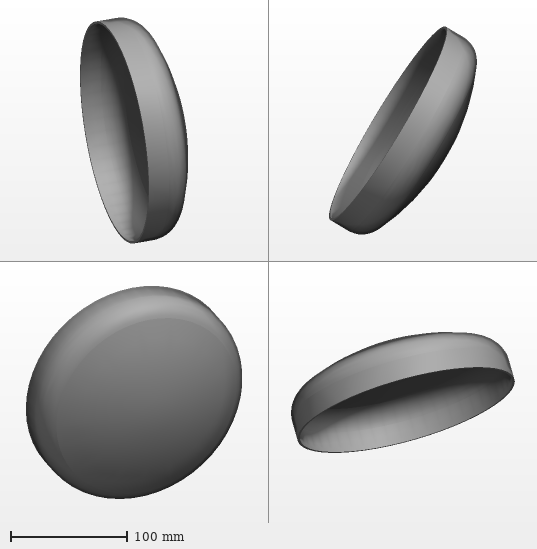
import cadquery as cq
import math

outer_diameter = 193.7
inner_diameter = 189.6
rim_height = 18.0
crown_inner_radius = outer_diameter
knuckle_inner_radius = outer_diameter / 10

outer_radius = outer_diameter / 2
inner_radius = inner_diameter / 2
wall = outer_radius - inner_radius
crown_outer_radius = crown_inner_radius + wall
knuckle_outer_radius = knuckle_inner_radius + wall

knuckle_centre = (inner_radius - knuckle_inner_radius, rim_height)
centre_distance = crown_inner_radius - knuckle_inner_radius
meeting_angle = math.asin(knuckle_centre[0] / centre_distance)
crown_centre = (0, rim_height - centre_distance * math.cos(meeting_angle))
knuckle_middle_angle = (meeting_angle + math.pi / 2) / 2
crown_middle_angle = meeting_angle / 2


def arc_point(centre, radius, angle):
    """Point on a circle, at an angle from the +Y direction towards +X."""
    return centre[0] + radius * math.sin(angle), centre[1] + radius * math.cos(angle)


wall_section = (
    cq.Workplane("XY")
    .moveTo(inner_radius, 0)
    .lineTo(outer_radius, 0)
    .lineTo(outer_radius, rim_height)
    .threePointArc(
        arc_point(knuckle_centre, knuckle_outer_radius, knuckle_middle_angle),
        arc_point(crown_centre, crown_outer_radius, meeting_angle),
    )
    .threePointArc(
        arc_point(crown_centre, crown_outer_radius, crown_middle_angle),
        arc_point(crown_centre, crown_outer_radius, 0),
    )
    .lineTo(*arc_point(crown_centre, crown_inner_radius, 0))
    .threePointArc(
        arc_point(crown_centre, crown_inner_radius, crown_middle_angle),
        arc_point(crown_centre, crown_inner_radius, meeting_angle),
    )
    .threePointArc(
        arc_point(knuckle_centre, knuckle_inner_radius, knuckle_middle_angle),
        (inner_radius, rim_height),
    )
    .close()
)

result = wall_section.revolve(360, (0, 0, 0), (0, 1, 0))